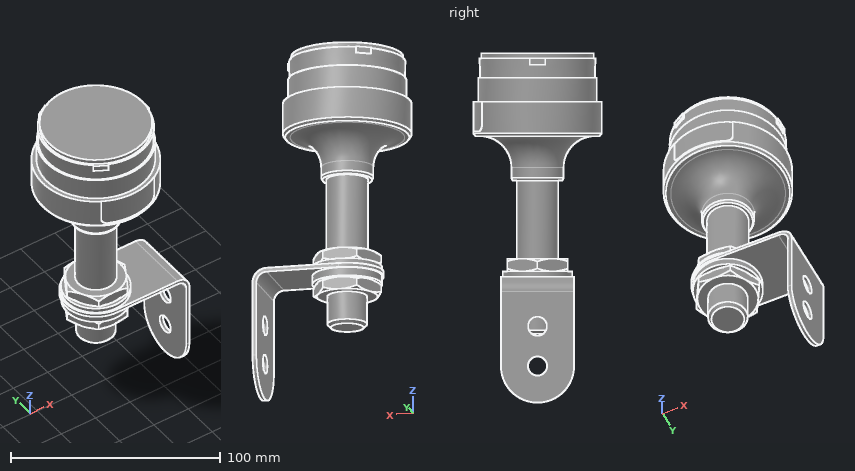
import cadquery as cq
import math


total_height = 167.1
cap_height = 2.5
lens_height = 9.2
shoulder_height = 11.5
head_height = 16.5
cove_radius = 14.9
collar_height = 6.3
lens_top_z = total_height - cap_height
lens_bottom_z = lens_top_z - lens_height
head_top_z = lens_bottom_z - shoulder_height
head_bottom_z = head_top_z - head_height
collar_top_z = head_bottom_z - cove_radius
collar_bottom_z = collar_top_z - collar_height
pole_bottom_z = 33.0

cap_radius = 26.9
lens_top_radius = 27.9
lens_bottom_radius = 27.5
shoulder_radius = 28.4
head_diameter = 61.7
head_radius = head_diameter / 2
head_chamfer_width = 1.2
head_chamfer_height = 1.5
collar_radius = 12.5
collar_chamfer_width = 0.7
collar_chamfer_height = 1.3
pole_radius = 10.0
thread_radius = 9.5
thread_chamfer = 1.7

tab_count = 3
tab_width = 7.4
tab_height = 3.0
tab_reach = 28.4

panel_width = 30.9
panel_height = 14.2
panel_corner_radius = 3.0
panel_depth = 0.2

plate_thickness = 2.0
plate_width = 35.1
plate_top_z = 60.3
plate_bottom_z = plate_top_z - plate_thickness
overall_length = 73.2
leg_outer_x = overall_length - head_radius
leg_inner_x = leg_outer_x - plate_thickness
bend_outer_radius = 7.0
bend_inner_radius = bend_outer_radius - plate_thickness
hole_diameter = 9.0
hole_spacing = 19.0

washer_radius = 16.7
upper_washer_thickness = 2.5
lower_washer_thickness = 4.0
nut_height = 6.0
nut_across_flats = 29.0
nut_chamfer_angle = math.radians(30)
upper_nut_seat_z = plate_top_z + upper_washer_thickness
lower_nut_seat_z = plate_bottom_z - lower_washer_thickness


def cylinder(radius, bottom_z, top_z):
    return cq.Workplane("XY", origin=(0, 0, bottom_z)).circle(radius).extrude(top_z - bottom_z)


def turned_body():
    """Head, cove, collar and pole, with a narrower threaded end below the clamped plate."""
    cove_sag = cove_radius * math.sqrt(0.5)
    cove_center_r = collar_radius + cove_radius
    profile = (
        cq.Workplane("XZ")
        .moveTo(0, total_height)
        .lineTo(cap_radius, total_height)
        .lineTo(cap_radius, lens_top_z)
        .lineTo(lens_top_radius, lens_top_z)
        .lineTo(lens_bottom_radius, lens_bottom_z)
        .lineTo(shoulder_radius, lens_bottom_z)
        .lineTo(shoulder_radius, head_top_z)
        .lineTo(head_radius, head_top_z)
        .lineTo(head_radius, head_bottom_z + head_chamfer_height)
        .lineTo(head_radius - head_chamfer_width, head_bottom_z)
        .lineTo(cove_center_r, head_bottom_z)
        .threePointArc(
            (cove_center_r - cove_sag, collar_top_z + cove_sag),
            (collar_radius, collar_top_z),
        )
        .lineTo(collar_radius, collar_bottom_z + collar_chamfer_height)
        .lineTo(collar_radius - collar_chamfer_width, collar_bottom_z)
        .lineTo(pole_radius, collar_bottom_z)
        .lineTo(pole_radius, plate_top_z)
        .lineTo(thread_radius, plate_top_z)
        .lineTo(thread_radius, pole_bottom_z + thread_chamfer)
        .lineTo(thread_radius - thread_chamfer, pole_bottom_z)
        .lineTo(0, pole_bottom_z)
        .close()
    )
    return profile.revolve(360, (0, 0, 0), (0, 1, 0))


def locking_tab(angle):
    tab = cq.Workplane("XY").box(tab_reach, tab_width, tab_height, centered=(False, True, False))
    return tab.translate((0, 0, lens_top_z - tab_height)).rotate((0, 0, 0), (0, 0, 1), angle)


def panel_recess():
    """Curved skin, open at the top of the head and rounded at its lower corners."""
    skin = cylinder(head_radius, head_bottom_z, head_top_z).cut(
        cylinder(head_radius - panel_depth, head_bottom_z, head_top_z)
    )
    window = (
        cq.Workplane("XY", origin=(0, 0, head_top_z - panel_height))
        .box(panel_width, head_radius, panel_height, centered=(True, False, False))
        .translate((0, -head_radius, 0))
        .edges("|Y and <Z")
        .fillet(panel_corner_radius)
    )
    return skin.intersect(window)


def bracket():
    """Bent strip with both ends rounded to the full strip width."""
    end_radius = plate_width / 2
    bend_center_x = leg_outer_x - bend_outer_radius
    bend_center_z = plate_top_z - bend_outer_radius
    diagonal = math.sqrt(0.5)
    strip = (
        cq.Workplane("XZ")
        .moveTo(-end_radius, plate_top_z)
        .lineTo(bend_center_x, plate_top_z)
        .threePointArc(
            (bend_center_x + bend_outer_radius * diagonal, bend_center_z + bend_outer_radius * diagonal),
            (leg_outer_x, bend_center_z),
        )
        .lineTo(leg_outer_x, 0)
        .lineTo(leg_inner_x, 0)
        .lineTo(leg_inner_x, bend_center_z)
        .threePointArc(
            (bend_center_x + bend_inner_radius * diagonal, bend_center_z + bend_inner_radius * diagonal),
            (bend_center_x, plate_bottom_z),
        )
        .lineTo(-end_radius, plate_bottom_z)
        .close()
        .extrude(end_radius, both=True)
    )
    plate_end = cylinder(end_radius, 0, plate_top_z)
    plate_rest = cq.Workplane("XY").box(
        leg_outer_x, plate_width, plate_top_z, centered=(False, True, False)
    )
    leg_end = cq.Workplane("YZ").center(0, end_radius).circle(end_radius).extrude(leg_outer_x)
    leg_rest = cq.Workplane("XY", origin=(0, 0, end_radius)).box(
        2 * leg_outer_x, plate_width, plate_top_z - end_radius, centered=(True, True, False)
    )
    holes = (
        cq.Workplane("YZ")
        .pushPoints([(0, end_radius), (0, end_radius + hole_spacing)])
        .circle(hole_diameter / 2)
        .extrude(leg_outer_x)
    )
    return strip.intersect(plate_end.union(plate_rest)).intersect(leg_end.union(leg_rest)).cut(holes)


def nut(bottom_z):
    """Hexagonal nut with its corners turned off at both ends."""
    corner_radius = nut_across_flats / math.sqrt(3)
    face_radius = nut_across_flats / 2
    chamfer_height = (corner_radius - face_radius) * math.tan(nut_chamfer_angle)
    hexagon = cq.Workplane("XY").polygon(6, 2 * corner_radius).extrude(nut_height)
    envelope = (
        cq.Workplane("XZ")
        .lineTo(face_radius, 0)
        .lineTo(corner_radius, chamfer_height)
        .lineTo(corner_radius, nut_height - chamfer_height)
        .lineTo(face_radius, nut_height)
        .lineTo(0, nut_height)
        .close()
        .revolve(360, (0, 0, 0), (0, 1, 0))
    )
    return hexagon.intersect(envelope).translate((0, 0, bottom_z))


body = turned_body()
for index in range(tab_count):
    body = body.union(locking_tab(index * 360 / tab_count))
body = body.cut(panel_recess())

upper_washer = cylinder(washer_radius, plate_top_z, upper_nut_seat_z)
lower_washer = cylinder(washer_radius, lower_nut_seat_z, plate_bottom_z)
upper_nut = nut(upper_nut_seat_z)
lower_nut = nut(lower_nut_seat_z - nut_height)

result = body.union(bracket())
for clamp_part in (upper_washer, lower_washer, upper_nut, lower_nut):
    result = result.union(clamp_part)